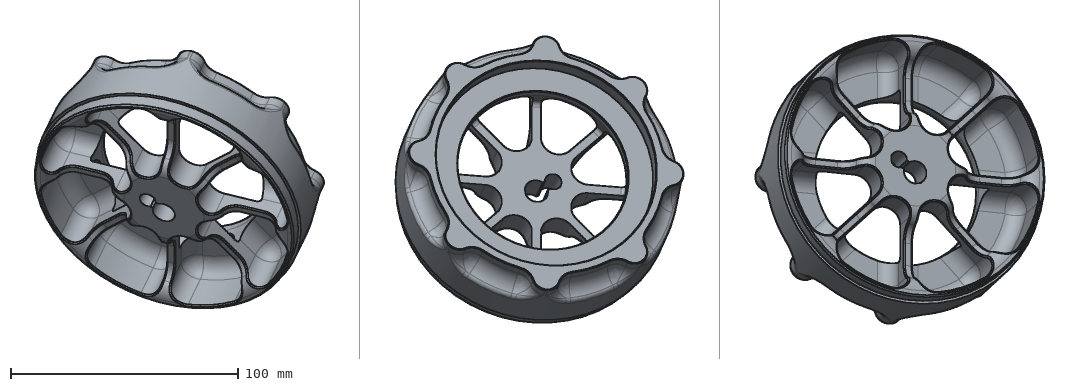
import cadquery as cq
import math

RIM_RADIUS = 61.6
WHEEL_DEPTH = 38.1
SPOKE_COUNT = 8
SPOKE_STEP = 360 / SPOKE_COUNT
EDGE_MARGIN = 0.1

LIP_RADIUS = 120.6 / 2
LIP_DEPTH = 6.5
LIP_CHAMFER = 0.7

SPOKE_WIDTH = 4.1
POCKET_RADIUS = 58.1
POCKET_DEPTH = 24.6
POCKET_CORNER = 7.5
POCKET_FLOOR_ROUND = 7.4
POCKET_EDGE_CHAMFER = 0.6

HUB_THICKNESS = 15.0
BORE_RADIUS = 76.3 / 2
BORE_FRONT_RADIUS = 40.2
BORE_TAPER_END = 26.5
BORE_ROUND = 2.0
RECESS_RADIUS = 49.3
RECESS_FLOOR = 30.3
BACK_CHAMFER = 0.4

DIP_DEPTH = 9.7
DIP_START = 18.6
DIP_END = 57.5
BEND_LENGTH = 7.1

VALLEY_RADIUS = 53.3
VALLEY_CORNER = 7.8
SCALLOP_FRONT = 25.4
SCALLOP_FLOOR_ROUND = 7.6
SCALLOP_EDGE_ROUND = 2.0
LOBE_RADIUS = 6.3
LOBE_TIP = RIM_RADIUS + 0.02

AXLE_RADIUS = 5.2
AXLE_PLACE = (0, -3.1)
PIN_RADIUS = 3.7
PIN_PLACE = (-7.5, 2.1)
NECK_WIDTH = 4.1


def polar(radius, angle):
    """Point (x, z) at a radius and an angle in degrees."""
    turn = math.radians(angle)
    return (radius * math.cos(turn), radius * math.sin(turn))


def plane_at(depth):
    """XZ sketch plane at a given Y; a negative extrusion runs toward +Y."""
    return cq.Workplane("XZ", origin=(0, depth, 0))


def around_wheel(shape):
    """One compound holding a copy of the shape at every spoke step."""
    copies = [
        shape.val().rotate(cq.Vector(0, 0, 0), cq.Vector(0, 1, 0), index * SPOKE_STEP)
        for index in range(SPOKE_COUNT)
    ]
    return cq.Workplane(obj=cq.Compound.makeCompound(copies))


def revolve_about_axis(profile):
    """Revolve an open (radius, Y) profile, once closed, about the wheel axis."""
    return profile.close().revolve(360, (0, 0, 0), (0, 1, 0))


def edges_at_depth(depth, reach):
    """Selector for edges lying at one Y and within a reach of the axis in X and Z."""
    return cq.selectors.BoxSelector(
        (-reach, depth - EDGE_MARGIN, -reach),
        (reach, depth + EDGE_MARGIN, reach),
        boundingbox=True,
    )


def make_blank():
    """Solid disc with the stepped and chamfered lip."""
    profile = (
        cq.Workplane("XY")
        .lineTo(LIP_RADIUS - LIP_CHAMFER, 0)
        .lineTo(LIP_RADIUS, LIP_CHAMFER)
        .lineTo(LIP_RADIUS, LIP_DEPTH)
        .lineTo(RIM_RADIUS, LIP_DEPTH)
        .lineTo(RIM_RADIUS, WHEEL_DEPTH)
        .lineTo(0, WHEEL_DEPTH)
    )
    return revolve_about_axis(profile)


def make_dip():
    """Ring cutter with S-shaped flanks between hub and rim."""
    bend_turn = 2 * math.atan(DIP_DEPTH / 2 / BEND_LENGTH)
    bend_radius = BEND_LENGTH / math.sin(bend_turn)
    mid_run = bend_radius * math.sin(bend_turn / 2)
    mid_drop = bend_radius * (1 - math.cos(bend_turn / 2))
    flat_start = DIP_START + 2 * BEND_LENGTH
    flat_end = DIP_END - 2 * BEND_LENGTH

    profile = (
        cq.Workplane("XY")
        .moveTo(DIP_START, 0)
        .threePointArc((DIP_START + mid_run, mid_drop), (DIP_START + BEND_LENGTH, DIP_DEPTH / 2))
        .threePointArc((flat_start - mid_run, DIP_DEPTH - mid_drop), (flat_start, DIP_DEPTH))
        .lineTo(flat_end, DIP_DEPTH)
        .threePointArc((flat_end + mid_run, DIP_DEPTH - mid_drop), (DIP_END - BEND_LENGTH, DIP_DEPTH / 2))
        .threePointArc((DIP_END - mid_run, mid_drop), (DIP_END, 0))
    )
    return revolve_about_axis(profile)


def make_bore():
    """Cutter for the tapered bore and the wider recess at the back."""
    profile = (
        cq.Workplane("XY")
        .moveTo(0, HUB_THICKNESS)
        .lineTo(BORE_FRONT_RADIUS, HUB_THICKNESS)
        .lineTo(BORE_RADIUS, BORE_TAPER_END)
        .lineTo(BORE_RADIUS, RECESS_FLOOR - BACK_CHAMFER)
        .lineTo(BORE_RADIUS + BACK_CHAMFER, RECESS_FLOOR)
        .lineTo(RECESS_RADIUS, RECESS_FLOOR)
        .lineTo(RECESS_RADIUS, WHEEL_DEPTH)
        .lineTo(0, WHEEL_DEPTH)
    )
    return revolve_about_axis(profile).faces("<Y").edges().fillet(BORE_ROUND)


def make_scallop_cutter():
    """Everything outside the lobed back outline, with its floor rounded."""
    height = WHEEL_DEPTH - SCALLOP_FRONT
    base = plane_at(SCALLOP_FRONT)
    lobe = base.center(LOBE_RADIUS - LOBE_TIP, 0).circle(LOBE_RADIUS).extrude(-height)
    core = base.circle(VALLEY_RADIUS).extrude(-height).union(around_wheel(lobe))
    core = core.edges("|Y").fillet(VALLEY_CORNER)

    block_side = 4 * RIM_RADIUS
    cutter = base.rect(block_side, block_side).extrude(-height).cut(core)
    lobed_outline = edges_at_depth(SCALLOP_FRONT, LOBE_TIP + EDGE_MARGIN)
    return cutter.edges(lobed_outline).fillet(SCALLOP_FLOOR_ROUND)


def cut_scallops(body):
    """Cut the scallops, then round their outer edges and break the back edges."""
    body = body.cut(make_scallop_cutter())
    floor_edges = edges_at_depth(SCALLOP_FRONT, LOBE_TIP + EDGE_MARGIN)
    rim_arcs = body.edges(floor_edges).edges("%CIRCLE").edges(cq.selectors.RadiusNthSelector(-1))
    body = rim_arcs.fillet(SCALLOP_EDGE_ROUND)
    return body.faces(">Y").edges().chamfer(BACK_CHAMFER)


def make_pocket():
    """Wedge between two spokes with rounded corners and a rounded floor."""
    half_width = SPOKE_WIDTH / 2
    side_length = 2 * RIM_RADIUS
    tip_radius = half_width / math.sin(math.radians(SPOKE_STEP / 2))
    tip_x, tip_z = polar(tip_radius, SPOKE_STEP / 2)
    side_x, side_z = polar(side_length, SPOKE_STEP)
    wedge = (
        plane_at(0)
        .moveTo(tip_x, tip_z)
        .lineTo(tip_x + side_length, tip_z)
        .lineTo(tip_x + side_x, tip_z + side_z)
        .close()
        .extrude(-POCKET_DEPTH)
    )
    disc = plane_at(0).circle(POCKET_RADIUS).extrude(-POCKET_DEPTH)
    pocket = wedge.intersect(disc).edges("|Y").fillet(POCKET_CORNER)
    return pocket.faces(">Y").edges().fillet(POCKET_FLOOR_ROUND)


def cut_pockets(body):
    """Cut all pockets and chamfer their front edges."""
    body = body.cut(around_wheel(make_pocket()))
    hub_edges = body.edges(edges_at_depth(0, DIP_START + EDGE_MARGIN))
    hub_arcs = hub_edges.edges("%CIRCLE").edges(cq.selectors.RadiusNthSelector(0))
    return hub_arcs.chamfer(POCKET_EDGE_CHAMFER)


def make_keyhole():
    """Axle hole and pin hole joined by a narrow neck."""
    run_x = AXLE_PLACE[0] - PIN_PLACE[0]
    run_z = AXLE_PLACE[1] - PIN_PLACE[1]
    hub = plane_at(0)
    axle = hub.center(*AXLE_PLACE).circle(AXLE_RADIUS).extrude(-HUB_THICKNESS)
    pin = hub.center(*PIN_PLACE).circle(PIN_RADIUS).extrude(-HUB_THICKNESS)
    neck = (
        hub.center(PIN_PLACE[0] + run_x / 2, PIN_PLACE[1] + run_z / 2)
        .transformed(rotate=(0, 0, math.degrees(math.atan2(run_z, run_x))))
        .rect(math.hypot(run_x, run_z), NECK_WIDTH)
        .extrude(-HUB_THICKNESS)
    )
    return axle.union(pin).union(neck)


wheel = make_blank().cut(make_dip()).cut(make_bore())
wheel = cut_scallops(wheel)
wheel = cut_pockets(wheel)
result = wheel.cut(make_keyhole())